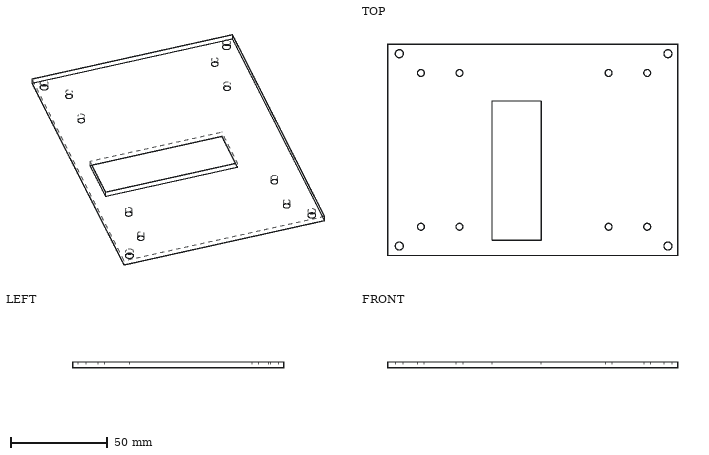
import cadquery as cq

length = 150.8
width = 110.0
thickness = 3.0

corner_hole_diameter = 4.0
corner_center_x = 0.5
corner_spacing_x = 139.6
corner_spacing_y = 100.0

group_hole_diameter = 3.5
group_spacing_x = 20.0
group_spacing_y = 79.9
left_group_x = -48.1
right_group_x = 49.5

window_left = -21.1
window_bottom = -46.9
window_width = 25.5
window_length = 72.2


def hole_rectangle(center_x, spacing_x, spacing_y, diameter):
    """Cutters for four through holes at the corners of a rectangle."""
    return (
        cq.Workplane("XY")
        .center(center_x, 0)
        .rect(spacing_x, spacing_y, forConstruction=True)
        .vertices()
        .circle(diameter / 2)
        .extrude(thickness)
    )


plate = cq.Workplane("XY").box(length, width, thickness, centered=(True, True, False))

window = (
    cq.Workplane("XY")
    .center(window_left, window_bottom)
    .rect(window_width, window_length, centered=False)
    .extrude(thickness)
)

result = plate.cut(window)
result = result.cut(
    hole_rectangle(corner_center_x, corner_spacing_x, corner_spacing_y, corner_hole_diameter)
)
for group_x in (left_group_x, right_group_x):
    result = result.cut(hole_rectangle(group_x, group_spacing_x, group_spacing_y, group_hole_diameter))